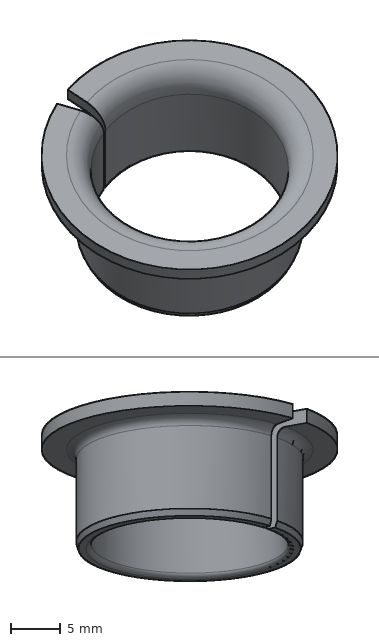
import cadquery as cq
import math

flange_diameter = 29.98
height = 12.0
wall = 1.5
bore_diameter = 20.0
mouth_radius = 2.5
chamfer_height = 0.7
chamfer_depth = 0.25
bore_edge_radius = 0.5
split_gap_at_bore = 0.35
split_half_angle = 10.0

flange_radius = flange_diameter / 2
bore_radius = bore_diameter / 2
sleeve_radius = bore_radius + wall
flange_bottom = height - wall
neck_radius = mouth_radius - wall
bend_center_r = bore_radius + mouth_radius
bend_center_z = height - mouth_radius


def bend_point(radius):
    """Midpoint of a quarter arc around the centre of the flange bend."""
    offset = radius * math.sqrt(0.5)
    return -(bend_center_r - offset), bend_center_z + offset


def flanged_sleeve():
    """Revolve the constant-thickness wall section around Z, starting on the split side."""
    bore_edge_inset = bore_edge_radius * (1 - math.sqrt(0.5))
    bore_edge_middle = (-bore_radius - bore_edge_inset, bore_edge_inset)
    return (
        cq.Workplane("XZ")
        .moveTo(-bore_radius, bore_edge_radius)
        .threePointArc(bore_edge_middle, (-bore_radius - bore_edge_radius, 0))
        .lineTo(-sleeve_radius + chamfer_depth, 0)
        .lineTo(-sleeve_radius, chamfer_height)
        .lineTo(-sleeve_radius, bend_center_z)
        .threePointArc(bend_point(neck_radius), (-bend_center_r, flange_bottom))
        .lineTo(-flange_radius, flange_bottom)
        .lineTo(-flange_radius, height)
        .lineTo(-bend_center_r, height)
        .threePointArc(bend_point(mouth_radius), (-bore_radius, bend_center_z))
        .close()
        .revolve(360, (0, 0, 0), (0, 1, 0))
    )


def split_wedge():
    """Wedge on the -X side that widens outward from its apex inside the bore."""
    slope = math.tan(math.radians(split_half_angle))
    apex_radius = bore_radius - split_gap_at_bore / 2 / slope
    outer_reach = flange_diameter
    half_width = (outer_reach - apex_radius) * slope
    return (
        cq.Workplane("XY")
        .polyline([(-apex_radius, 0), (-outer_reach, half_width), (-outer_reach, -half_width)])
        .close()
        .extrude(height)
    )


result = flanged_sleeve().cut(split_wedge())